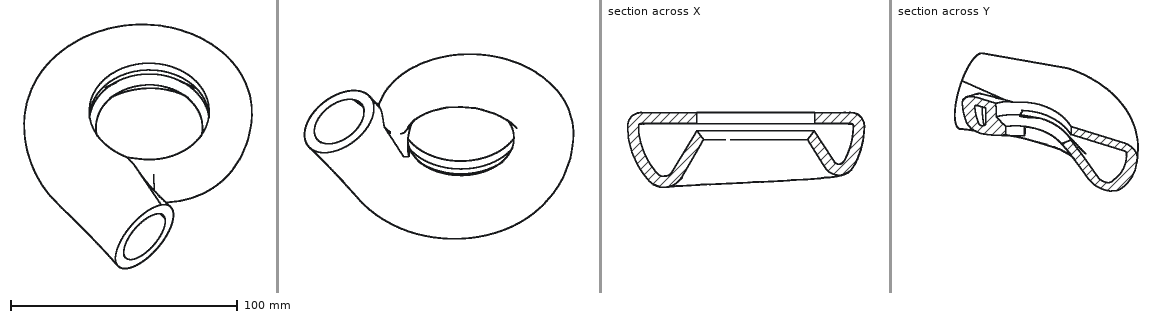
import math
import cadquery as cq

TONGUE_ANGLE = -39.6
OUTLET_ANGLE = 270.0
SECTION_COUNT = 10
WALL = 5.0
TONGUE_RADIUS = 39.0
RADIUS_GROWTH = 24.15
RADIUS_SLOWDOWN = 6.1
TONGUE_DEPTH = 20.8
DEPTH_GROWTH = 18.3
DEPTH_SLOWDOWN = 5.7

TOP_ROUND = 6.0
FLANK_ROUND = 36.0
TONGUE_BOTTOM_ROUND = 6.0
OUTLET_BOTTOM_ROUND = 9.0

BORE_RADIUS = 26.5
THROAT_RADIUS = 23.5
SLOT_BOTTOM = 8.0
LIP_DEPTH = 12.0
BORE_OVERLAP = 3.0
CUT_CLEARANCE = 1.0

TUBE_RADIUS = 17.5
TUBE_LENGTH = 39.66
OUTLET_STATIONS = (125, 70, 25, -25, -100, -190, -210, -235)

NOSE_END_ANGLE = -75.0
NOSE_END_REACH = 28.0
NOSE_END_DEPTH = 18.0
NOSE_END_ROUND = 2.0


def outer_reach(t):
    """Outer radius of the scroll at fraction t of its run."""
    return TONGUE_RADIUS + RADIUS_GROWTH * t - RADIUS_SLOWDOWN * t**2


def depth(t):
    """Depth of the scroll below its top at fraction t of its run."""
    return TONGUE_DEPTH + DEPTH_GROWTH * t - DEPTH_SLOWDOWN * t**2


def bottom_rounding(t):
    """Radius of the lower outer round at fraction t of the scroll's run."""
    return TONGUE_BOTTOM_ROUND + (OUTLET_BOTTOM_ROUND - TONGUE_BOTTOM_ROUND) * t


def place(point, angle):
    """Point (radius, z) of the radial plane at angle, in space."""
    turn = math.radians(angle)
    return cq.Vector(point[0] * math.cos(turn), point[0] * math.sin(turn), point[1])


def arc(center, radius, start, end, angle):
    """Arc in the radial plane at angle; start and end are in radians."""
    points = []
    for a in (start, (start + end) / 2, end):
        points.append(place((center[0] + radius * math.cos(a), center[1] + radius * math.sin(a)), angle))
    return cq.Edge.makeThreePointArc(*points)


def section(angle, reach, low, rounding, inset):
    """Closed outline in the radial plane at angle; inset moves it inwards by a wall thickness."""
    top_r = TOP_ROUND - inset
    flank_r = FLANK_ROUND - inset
    bottom_r = rounding - inset
    lip = (BORE_RADIUS, -SLOT_BOTTOM) if inset else (THROAT_RADIUS, -LIP_DEPTH)

    top_c = (reach - TOP_ROUND, -TOP_ROUND)
    flank_c = (reach - FLANK_ROUND, -TOP_ROUND)
    center_gap = FLANK_ROUND - rounding
    drop = low - rounding - TOP_ROUND
    bottom_c = (flank_c[0] + math.sqrt(center_gap**2 - drop**2), rounding - low)
    flank_end = -math.asin(drop / center_gap)

    to_center = math.atan2(bottom_c[1] - lip[1], bottom_c[0] - lip[0])
    distance = math.hypot(bottom_c[0] - lip[0], bottom_c[1] - lip[1])
    slope = to_center - math.asin(bottom_r / distance)
    inner_end = slope - math.pi / 2
    inner_x = lip[0] - BORE_OVERLAP

    top_start = place((inner_x, -inset), angle)
    lip_point = place(lip, angle)
    inner_corner = place((inner_x, lip[1]), angle)
    top_round = arc(top_c, top_r, math.pi / 2, 0, angle)
    flank = arc(flank_c, flank_r, 0, flank_end, angle)
    bottom_round = arc(bottom_c, bottom_r, flank_end, inner_end, angle)
    return cq.Wire.assembleEdges([
        cq.Edge.makeLine(top_start, top_round.startPoint()),
        top_round,
        flank,
        bottom_round,
        cq.Edge.makeLine(bottom_round.endPoint(), lip_point),
        cq.Edge.makeLine(lip_point, inner_corner),
        cq.Edge.makeLine(inner_corner, top_start),
    ])


def scroll(inset):
    """Spiral body; inset 0 gives its outside, the wall thickness gives its cavity."""
    wires = []
    for i in range(SECTION_COUNT):
        t = i / (SECTION_COUNT - 1)
        angle = TONGUE_ANGLE + (OUTLET_ANGLE - TONGUE_ANGLE) * t
        wires.append(section(angle, outer_reach(t), depth(t), bottom_rounding(t), inset))
    return cq.Workplane(cq.Solid.makeLoft(wires))


def tube(inset):
    """Blend from the last scroll section to the round outlet."""
    start = section(OUTLET_ANGLE, outer_reach(1), depth(1), bottom_rounding(1), inset)
    center = (outer_reach(1) - TUBE_RADIUS, -TUBE_RADIUS)
    arcs = []
    for first, last in zip(OUTLET_STATIONS, OUTLET_STATIONS[1:]):
        arcs.append(arc(center, TUBE_RADIUS - inset, math.radians(first), math.radians(last), OUTLET_ANGLE))
    end = cq.Wire.assembleEdges(arcs).translate(cq.Vector(TUBE_LENGTH, 0, 0))
    return cq.Workplane(cq.Solid.makeLoft([start, end]))


def nose():
    """Solid wedge from the smallest section to the bore rim beside the tube."""
    start = section(TONGUE_ANGLE, outer_reach(0), depth(0), bottom_rounding(0), 0)
    end = section(NOSE_END_ANGLE, NOSE_END_REACH, NOSE_END_DEPTH, NOSE_END_ROUND, 0)
    return cq.Workplane(cq.Solid.makeLoft([start, end]))


def bore():
    """Cutter for the round opening with the cone that narrows it to the throat."""
    above = CUT_CLEARANCE
    deep = 2 * TUBE_RADIUS + CUT_CLEARANCE
    profile = [(0, above), (BORE_RADIUS, above), (BORE_RADIUS, -SLOT_BOTTOM), (THROAT_RADIUS, -LIP_DEPTH),
               (THROAT_RADIUS, -deep), (0, -deep)]
    return cq.Workplane("XZ").polyline(profile).close().revolve(360, (0, 0), (0, 1))


outside = scroll(0).union(tube(0)).union(nose())
result = outside.cut(scroll(WALL)).cut(tube(WALL)).cut(bore())